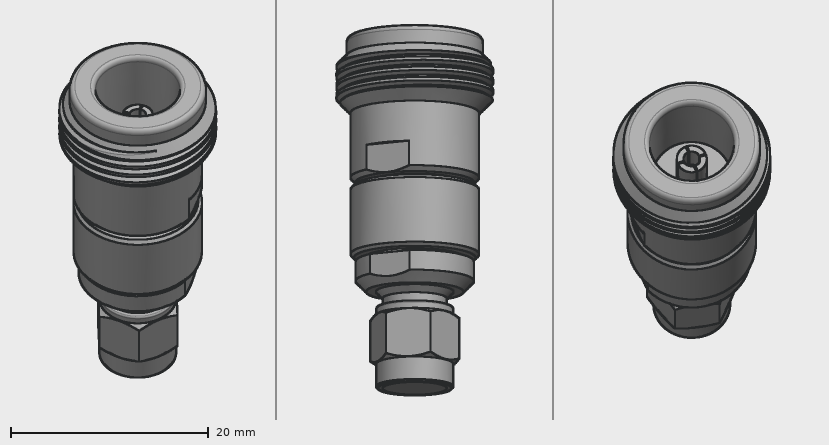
import cadquery as cq
import math

total_height = 36.15

rim_radius = 6.9
rim_bottom_z = 34.22
rim_fillet = 0.55
thread_diameter = 15.85
thread_radius = thread_diameter / 2
barrel_radius = 6.5
head_bottom_z = 28.35

thread_depth = 0.58
thread_flank_angle = 30.0
thread_start_z = 29.3
thread_end_z = 33.75
thread_turns = 4.2
thread_pitch = (thread_end_z - thread_start_z) / thread_turns
thread_start_angle = -132.0
thread_overshoot = 0.18
thread_root_width = 0.05

upper_barrel_bottom_z = 21.18
upper_barrel_chamfer = 0.5
upper_flat_distance = 6.05
upper_flat_top_z = 24.2

upper_groove_radius = 4.8
lower_barrel_top_z = 20.8
lower_barrel_bottom_z = 13.45
lower_barrel_chamfer = 0.35
lower_groove_radius = 5.0

collar_top_z = 13.05
collar_radius = 6.0
collar_bottom_z = 9.95
collar_chamfer = 1.1
collar_flat_distance = 5.55
neck_radius = 3.25
neck_top_z = 9.25

bore_mouth_radius = 4.25
bore_floor_radius = 4.0
bore_mouth_fillet = 0.5
bore_depth = 7.95

contact_radius = 1.5
contact_hole_radius = 0.83
contact_tip_depth = 3.85
contact_hole_depth = 2.9
contact_slot_width = 0.15

nut_top_z = 8.3
nut_round_radius = 3.9
nut_top_fillet = 0.18
nut_bottom_chamfer = 0.18
hex_bottom_z = 2.5
hex_top_z = 7.5
hex_across_flats = 7.9
hex_turn_angle = -12.6
hex_bevel_angle = 33.0


def revolved(outline):
    """Turn a closed (radius, Z) outline around the Z axis."""
    return cq.Workplane("XZ").polyline(outline).close().revolve(360, (0, 0, 0), (0, 1, 0))


def shell_blank():
    """Outer shape of the shell, before bore, thread and flats; its cones are at 45 degrees."""
    outline = [
        (0, 0),
        (neck_radius, 0),
        (neck_radius, neck_top_z),
        (neck_radius + collar_bottom_z - neck_top_z, collar_bottom_z),
        (collar_radius - collar_chamfer, collar_bottom_z),
        (collar_radius, collar_bottom_z + collar_chamfer),
        (collar_radius, collar_top_z),
        (lower_groove_radius, collar_top_z),
        (lower_groove_radius, lower_barrel_bottom_z),
        (barrel_radius - lower_barrel_chamfer, lower_barrel_bottom_z),
        (barrel_radius, lower_barrel_bottom_z + lower_barrel_chamfer),
        (barrel_radius, lower_barrel_top_z - lower_barrel_chamfer),
        (barrel_radius - lower_barrel_chamfer, lower_barrel_top_z),
        (upper_groove_radius, lower_barrel_top_z),
        (upper_groove_radius, upper_barrel_bottom_z),
        (barrel_radius - upper_barrel_chamfer, upper_barrel_bottom_z),
        (barrel_radius, upper_barrel_bottom_z + upper_barrel_chamfer),
        (barrel_radius, head_bottom_z),
        (thread_radius, head_bottom_z + thread_radius - barrel_radius),
        (thread_radius, rim_bottom_z - (thread_radius - rim_radius)),
        (rim_radius, rim_bottom_z),
        (rim_radius, total_height),
        (0, total_height),
    ]
    return revolved(outline).faces(">Z").edges().fillet(rim_fillet)


def bore_cutter():
    """Bore with a rounded mouth and a slight taper down to its floor."""
    mouth_bottom_z = total_height - bore_mouth_fillet
    mouth_edge_radius = bore_mouth_radius + bore_mouth_fillet
    arc_inset = bore_mouth_fillet * math.sqrt(0.5)
    return (
        cq.Workplane("XZ")
        .moveTo(0, total_height)
        .lineTo(mouth_edge_radius, total_height)
        .threePointArc(
            (mouth_edge_radius - arc_inset, mouth_bottom_z + arc_inset),
            (bore_mouth_radius, mouth_bottom_z),
        )
        .lineTo(bore_floor_radius, total_height - bore_depth)
        .lineTo(0, total_height - bore_depth)
        .close()
        .revolve(360, (0, 0, 0), (0, 1, 0))
    )


def thread_cutter():
    """V-shaped groove swept along a helix, running out on the cones above and below."""
    root_radius = thread_radius - thread_depth
    outer_radius = thread_radius + thread_overshoot
    half_root = thread_root_width / 2
    flank_run = (outer_radius - root_radius) * math.tan(math.radians(thread_flank_angle))
    half_mouth = half_root + flank_run
    section = [
        (root_radius, -half_root),
        (outer_radius, -half_mouth),
        (outer_radius, half_mouth),
        (root_radius, half_root),
    ]
    helix = cq.Wire.makeHelix(thread_pitch, thread_end_z - thread_start_z, thread_radius)
    groove = (
        cq.Workplane("XZ")
        .polyline(section)
        .close()
        .sweep(cq.Workplane(helix), isFrenet=True)
    )
    return groove.rotate((0, 0, 0), (0, 0, 1), thread_start_angle).translate((0, 0, thread_start_z))


def flats_cutter(flat_distance, bottom_z, top_z):
    """Two blocks that cut flats facing -X and +X at the given distance from the axis."""
    block_depth = thread_radius - flat_distance
    return (
        cq.Workplane("XY", origin=(0, 0, bottom_z))
        .pushPoints([(side * (flat_distance + block_depth / 2), 0) for side in (-1, 1)])
        .rect(block_depth, 2 * thread_radius)
        .extrude(top_z - bottom_z)
    )


def make_shell():
    """Adapter body from the threaded head down to the neck inside the nut."""
    return (
        shell_blank()
        .cut(bore_cutter())
        .cut(thread_cutter())
        .cut(flats_cutter(upper_flat_distance, upper_barrel_bottom_z, upper_flat_top_z))
        .cut(flats_cutter(collar_flat_distance, collar_bottom_z, collar_top_z))
    )


def make_contact():
    """Centre contact: a socket with two crossed slots in its tip."""
    tip_z = total_height - contact_tip_depth
    contact = (
        cq.Workplane("XY", origin=(0, 0, total_height - bore_depth))
        .circle(contact_radius)
        .extrude(bore_depth - contact_tip_depth)
    )
    tip_plane = cq.Workplane("XY", origin=(0, 0, tip_z))
    socket = tip_plane.circle(contact_hole_radius).extrude(-contact_hole_depth)
    slot = tip_plane.rect(2 * contact_radius, contact_slot_width).extrude(-contact_hole_depth)
    cross_slot = slot.rotate((0, 0, 0), (0, 0, 1), 90)
    return contact.cut(socket).cut(slot).cut(cross_slot)


def hex_section():
    """Hexagon whose corners are bevelled by cones at both ends."""
    corner_radius = hex_across_flats / math.sqrt(3)
    bevel_height = (corner_radius - nut_round_radius) * math.tan(math.radians(hex_bevel_angle))
    prism = (
        cq.Workplane("XY", origin=(0, 0, hex_bottom_z))
        .polygon(6, 2 * corner_radius)
        .extrude(hex_top_z - hex_bottom_z)
        .rotate((0, 0, 0), (0, 0, 1), hex_turn_angle)
    )
    bevels = revolved([
        (0, hex_bottom_z),
        (nut_round_radius, hex_bottom_z),
        (corner_radius, hex_bottom_z + bevel_height),
        (corner_radius, hex_top_z - bevel_height),
        (nut_round_radius, hex_top_z),
        (0, hex_top_z),
    ])
    return prism.intersect(bevels)


def make_nut():
    """Coupling nut: a round sleeve with a hexagon, bored to fit the neck."""
    sleeve = cq.Workplane("XY").circle(nut_round_radius).extrude(nut_top_z)
    sleeve = sleeve.faces(">Z").edges().fillet(nut_top_fillet)
    sleeve = sleeve.faces("<Z").chamfer(nut_bottom_chamfer)
    neck_hole = cq.Workplane("XY").circle(neck_radius).extrude(nut_top_z)
    return sleeve.union(hex_section()).cut(neck_hole)


shell = make_shell()
contact = make_contact()
nut = make_nut()

result = cq.Compound.makeCompound([shell.solids().val(), contact.solids().val(), nut.solids().val()])